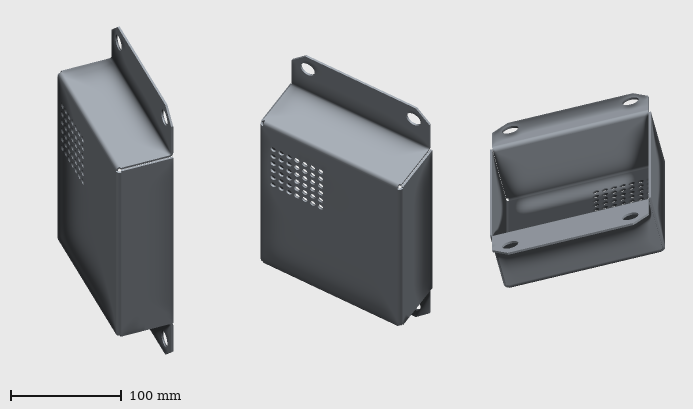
import cadquery as cq

cover_width = 150.0
cover_depth = 55.0
cover_height = 296.0

thickness = 2.0
inner_bend_radius = 2.0
outer_bend_radius = inner_bend_radius + thickness

box_height = 200.0
corner_clearance = 0.15
tab_width = cover_width - 2 * (thickness + corner_clearance)
tab_corner_cut = 14.5
side_wall_height = box_height - 2 * (thickness + corner_clearance)
side_wall_setback = 0.5

mount_hole_diameter = 15.0
mount_hole_inset = 17.0
mount_hole_x = tab_width / 2 - mount_hole_inset
mount_hole_z = cover_height / 2 - mount_hole_inset

vent_diameter = 6.0
vent_columns = 7
vent_rows = 6
vent_span = 50.0
vent_pitch_x = vent_span / (vent_columns - 1)
vent_pitch_z = vent_span / (vent_rows - 1)
vent_left_x = -60.0
vent_top_z = 70.0

front_y = -cover_depth
bend_line_y = front_y + outer_bend_radius
panel_width = cover_width - 2 * outer_bend_radius
panel_height = box_height - 2 * outer_bend_radius
half_width = cover_width / 2
half_box = box_height / 2


def box_between(low, high):
    """Axis-aligned block between two opposite corners."""
    size = [b - a for a, b in zip(low, high)]
    return cq.Workplane("XY").box(*size, centered=False).translate(low)


def bend(plane, center, quadrant, length):
    """Quarter tube of sheet, centred along its length on the given plane.

    center holds the bend axis in plane coordinates and quadrant the signs of
    the quarter that is kept.
    """
    tube = cq.Workplane(plane).center(*center).circle(outer_bend_radius).circle(inner_bend_radius)
    tube = tube.extrude(length / 2, both=True)
    quarter_center = [c + s * outer_bend_radius / 2 for c, s in zip(center, quadrant)]
    quarter = cq.Workplane(plane).center(*quarter_center).rect(outer_bend_radius, outer_bend_radius)
    return tube.intersect(quarter.extrude(length / 2, both=True))


def front_panel():
    """Flat front sheet between the four bends."""
    return box_between(
        (-panel_width / 2, front_y, -panel_height / 2),
        (panel_width / 2, front_y + thickness, panel_height / 2),
    )


def right_side():
    """Side wall at +X with its bend to the panel."""
    wall = box_between(
        (half_width - thickness, bend_line_y, -side_wall_height / 2),
        (half_width, -side_wall_setback, side_wall_height / 2),
    )
    panel_bend = bend("XY", (panel_width / 2, bend_line_y), (1, -1), panel_height)
    return wall.union(panel_bend)


def mounting_tab(bottom_z):
    """Flat upper tab with cut outer corners and two mounting holes."""
    tab = box_between((-tab_width / 2, -thickness, bottom_z), (tab_width / 2, 0, cover_height / 2))
    tab = tab.edges("|Y and >Z").chamfer(tab_corner_cut)
    holes = (
        cq.Workplane("XZ")
        .pushPoints([(-mount_hole_x, mount_hole_z), (mount_hole_x, mount_hole_z)])
        .circle(mount_hole_diameter / 2)
        .extrude(thickness)
    )
    return tab.cut(holes)


def upper_end():
    """End wall at +Z, its bend to the panel, and the mounting tab bent outward."""
    tab_bend_y = -outer_bend_radius
    tab_bend_z = half_box + inner_bend_radius
    wall = box_between(
        (-tab_width / 2, bend_line_y, half_box - thickness),
        (tab_width / 2, tab_bend_y, half_box),
    )
    panel_bend = bend("YZ", (bend_line_y, panel_height / 2), (-1, 1), panel_width)
    tab_bend = bend("YZ", (tab_bend_y, tab_bend_z), (1, -1), tab_width)
    return wall.union(panel_bend).union(tab_bend).union(mounting_tab(tab_bend_z))


def vent_holes():
    """Pins through the front panel, one per ventilation hole."""
    centers = [
        (vent_left_x + column * vent_pitch_x, vent_top_z - row * vent_pitch_z)
        for column in range(vent_columns)
        for row in range(vent_rows)
    ]
    pins = cq.Workplane("XZ").pushPoints(centers).circle(vent_diameter / 2)
    return pins.extrude(thickness).translate((0, front_y + thickness, 0))


side = right_side()
end = upper_end()
result = (
    front_panel()
    .union(side)
    .union(side.mirror("YZ"))
    .union(end)
    .union(end.mirror("XY"))
    .cut(vent_holes())
)